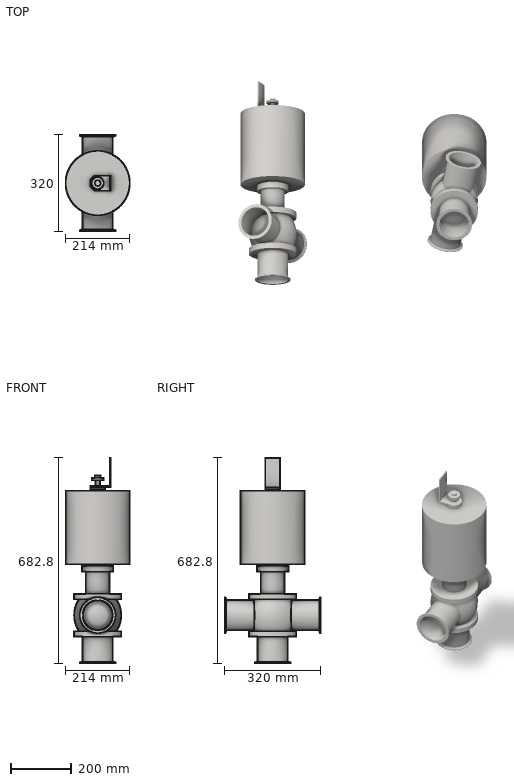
import cadquery as cq
import math

overall_height = 682.8

pipe_outer_diameter = 101.6
pipe_bore_diameter = 97.6
ferrule_diameter = 119.0
ferrule_neck_diameter = 105.0
ferrule_rim = 3.0
ferrule_length = 6.0
port_reach = 160.0

chamber_height = 105.0
chamber_diameter = 157.5
chamber_end_diameter = 125.0
flange_diameter = chamber_diameter
flange_thickness = 18.5

neck_diameter = 80.0
collar_diameter = 105.0
collar_thickness = 18.5
collar_gap = 5.0
actuator_diameter = 214.0
actuator_height = 245.0
actuator_bottom = 168.5
boss_diameter = 50.0
boss_height = 4.0

base_height = 8.0
bracket_thickness = 4.0
bracket_reach = 44.0
stud_diameter = 16.0
stud_length = 18.5
knob_diameter = 40.0
knob_thickness = 8.0
tip_diameter = 19.5
tip_length = 8.0

flange_face = chamber_height / 2 + flange_thickness
actuator_top = actuator_bottom + actuator_height
boss_top = actuator_top + boss_height
indicator_top = overall_height - port_reach
octagon_corner_cut = boss_diameter / (2 + math.sqrt(2))


def disc(diameter, bottom, height):
    """Upright cylinder on the valve axis."""
    return cq.Workplane("XY", origin=(0, 0, bottom)).circle(diameter / 2).extrude(height)


def port_outside():
    """Solid tube and tapered ferrule, from the centre up along Z."""
    pipe_radius = pipe_outer_diameter / 2
    neck_start = port_reach - ferrule_length
    return (
        cq.Workplane("XZ")
        .lineTo(pipe_radius, 0)
        .lineTo(pipe_radius, neck_start)
        .lineTo(ferrule_neck_diameter / 2, neck_start)
        .lineTo(ferrule_diameter / 2, port_reach - ferrule_rim)
        .lineTo(ferrule_diameter / 2, port_reach)
        .lineTo(0, port_reach)
        .close()
        .revolve(360, (0, 0), (0, 1))
    )


def chamber_barrel():
    """Barrel with a bulging arc side, revolved about the valve axis."""
    half_height = chamber_height / 2
    end_radius = chamber_end_diameter / 2
    return (
        cq.Workplane("XZ")
        .moveTo(0, -half_height)
        .lineTo(end_radius, -half_height)
        .threePointArc((chamber_diameter / 2, 0), (end_radius, half_height))
        .lineTo(0, half_height)
        .close()
        .revolve(360, (0, 0), (0, 1))
    )


def point_along(shape, tilt):
    """Turn an upright shape about X."""
    return shape.rotate((0, 0, 0), (1, 0, 0), tilt)


def side_bore():
    """Bore along Z that stops on the convex ball at the centre of the chamber."""
    ball = cq.Workplane("XY").sphere(chamber_diameter / 2)
    return disc(pipe_bore_diameter, 0, port_reach).cut(ball)


def build_valve():
    """Valve chamber with its three ports, the neck and the actuator."""
    side_tilts = (90, -90)

    valve = chamber_barrel()
    valve = valve.union(disc(flange_diameter, -flange_face, flange_thickness))
    valve = valve.union(disc(flange_diameter, chamber_height / 2, flange_thickness))
    valve = valve.union(point_along(port_outside(), 180))
    for tilt in side_tilts:
        valve = valve.union(point_along(port_outside(), tilt))

    for tilt in side_tilts:
        valve = valve.cut(point_along(side_bore(), tilt))
    valve = valve.cut(disc(pipe_bore_diameter, -port_reach, port_reach - flange_face))

    collar_bottom = actuator_bottom - collar_gap - collar_thickness
    valve = valve.union(disc(neck_diameter, flange_face, actuator_bottom - flange_face))
    valve = valve.union(disc(collar_diameter, collar_bottom, collar_thickness))
    valve = valve.union(disc(actuator_diameter, actuator_bottom, actuator_height))
    return valve.union(disc(boss_diameter, actuator_top, boss_height))


def bracket_foot(bottom):
    """Horizontal leg of the bracket, with two corners cut so that its end is half an octagon."""
    half_width = boss_diameter / 2
    centre_x = (bracket_reach - half_width) / 2
    return (
        cq.Workplane("XY", origin=(centre_x, 0, bottom))
        .rect(bracket_reach + half_width, boss_diameter)
        .extrude(bracket_thickness)
        .edges("|Z and <X")
        .chamfer(octagon_corner_cut)
    )


def build_indicator():
    """Round base on the boss, angle bracket, and the stud with its knob."""
    bracket_bottom = boss_top + base_height
    bracket_top = bracket_bottom + bracket_thickness
    plate_x = bracket_reach - bracket_thickness / 2

    plate = (
        cq.Workplane("XY", origin=(plate_x, 0, bracket_bottom))
        .rect(bracket_thickness, boss_diameter)
        .extrude(indicator_top - bracket_bottom)
    )
    knob_bottom = bracket_top + stud_length
    knob_top = knob_bottom + knob_thickness
    indicator = disc(boss_diameter, boss_top, base_height).union(bracket_foot(bracket_bottom)).union(plate)
    indicator = indicator.union(disc(stud_diameter, bracket_top, stud_length))
    indicator = indicator.union(disc(knob_diameter, knob_bottom, knob_thickness))
    return indicator.union(disc(tip_diameter, knob_top, tip_length))


valve = build_valve()
indicator = build_indicator()
result = cq.Compound.makeCompound([valve.val(), indicator.val()])